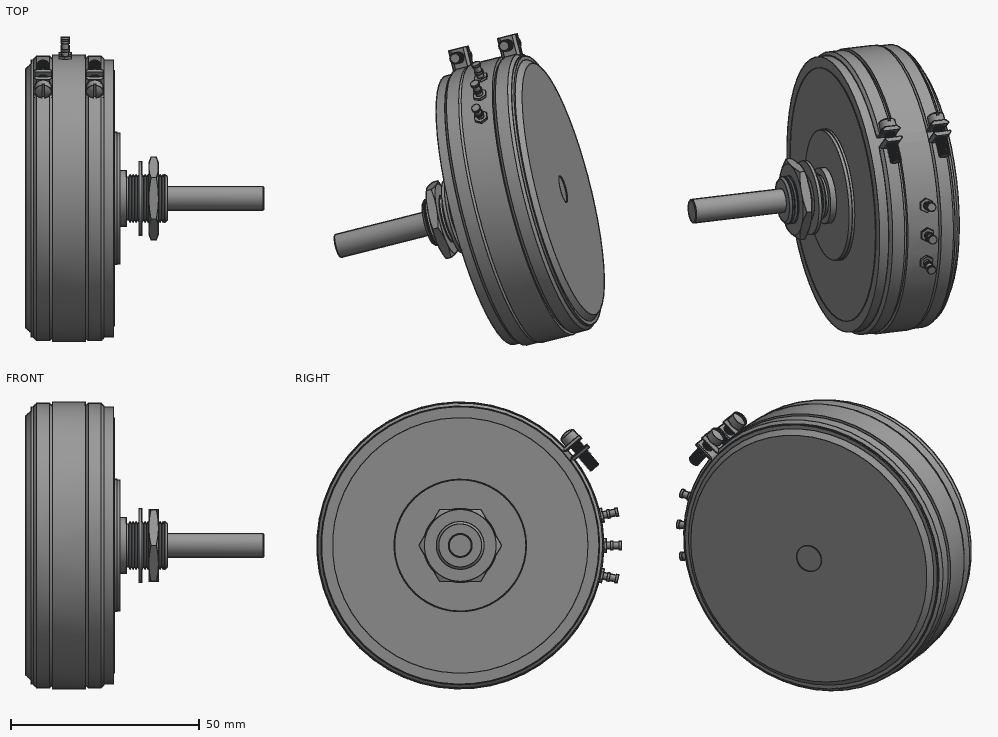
import cadquery as cq
import math


rear_face_radius = 34.4
rear_bevel_end = 1.46
rear_bevel_radius = 35.75
case_radius = 36.8
front_edge = 23.3
front_plate_radius = 33.9
front_plate_end = 23.5
rear_recess_radius = 3.6
rear_recess_depth = 0.3

ring_start = 7.1
ring_end = 15.8
ring_radius = 76.19 / 2

band_width = 5.0
band_centers = (ring_start - band_width / 2, ring_end + band_width / 2)
band_radius = 37.8
band_bevel = 0.8
clamp_angle = 40

ear_tip_radius = 43.0
ear_inner_face = 1.0
ear_thickness = 1.15
ear_inner_bevel = 0.3
ear_bend_radius = 1.2
screw_axis_radius = 40.6
screw_end = -7.15
screw_radius = 1.5
screw_root_radius = 1.25
screw_pitch = 0.4
head_radius = 2.2
head_height = 2.15
dome_height = 0.75
slot_width = 0.7
slot_depth = 1.3

terminal_x = 10.45
terminal_angles = (-12, 0, 12)
terminal_tip_radius = 80.9 - ring_radius
terminal_foot_radius = ring_radius - 0.6
terminal_hex_flats = 3.3
terminal_hex_top = 38.75
post_radius = 0.93
collar_radius = 1.15
collar_length = 0.67
lower_collar_start = 39.87

flange_step = 24.17
flange_end = 25.05
flange_root_radius = 17.6
flange_radius = 17.4
pilot_end = 26.7
pilot_radius = 7.45
neck_radius = 5.7
thread_start = 27.3
thread_pitch = 0.794
thread_count = 12
thread_radius = 6.35
thread_end = thread_start + thread_pitch * thread_count
bushing_end = 37.65
bushing_chamfer = 0.65
shaft_end = 63.17
shaft_radius = 3.175
shaft_chamfer = 0.25

washer_start = 30.0
washer_thickness = 0.85
washer_radius = 9.85
nut_start = 32.7
nut_thickness = 2.5
nut_flats = 19.05
nut_bevel = 0.55


def hex_corner_diameter(across_flats):
    return across_flats / math.cos(math.pi / 6)


def thread_points(start, pitch, count, crest_radius, root_radius):
    """Zigzag profile of ring-shaped threads as (axial, radius) points, ending on a root."""
    points = []
    for i in range(count):
        points.append((start + pitch * i, root_radius))
        points.append((start + pitch * (i + 0.5), crest_radius))
    points.append((start + pitch * count, root_radius))
    return points


def revolve_about_x(points):
    return cq.Workplane("XY").polyline(points).close().revolve(360, (0, 0, 0), (1, 0, 0))


def make_case():
    profile = [
        (0, 0),
        (0, rear_face_radius),
        (rear_bevel_end, rear_bevel_radius),
        (rear_bevel_end, case_radius),
        (ring_start, case_radius),
        (ring_start, ring_radius),
        (ring_end, ring_radius),
        (ring_end, case_radius),
        (front_edge, case_radius),
        (front_edge, front_plate_radius),
        (front_plate_end, front_plate_radius),
        (front_plate_end, 0),
    ]
    recess = cq.Workplane("YZ").circle(rear_recess_radius).extrude(rear_recess_depth)
    return revolve_about_x(profile).cut(recess)


def make_bushing_and_shaft():
    profile = [
        (front_plate_end, 0),
        (front_plate_end, flange_root_radius),
        (flange_step, flange_root_radius),
        (flange_step, flange_radius),
        (flange_end, flange_radius),
        (flange_end, pilot_radius),
        (pilot_end, pilot_radius),
        (pilot_end, neck_radius),
        *thread_points(thread_start, thread_pitch, thread_count, thread_radius, neck_radius),
        (thread_end, thread_radius),
        (bushing_end - bushing_chamfer, thread_radius),
        (bushing_end, thread_radius - bushing_chamfer),
        (bushing_end, shaft_radius),
        (shaft_end - shaft_chamfer, shaft_radius),
        (shaft_end, shaft_radius - shaft_chamfer),
        (shaft_end, 0),
    ]
    return revolve_about_x(profile)


def make_ear():
    """Clamp ear on the +Z side of the gap; the outer face carries the bevels of the band."""
    half_width = band_width / 2
    outer_face = ear_inner_face + ear_thickness
    half_section = [
        (half_width - ear_inner_bevel, ear_inner_face),
        (half_width, ear_inner_face + ear_inner_bevel),
        (half_width, outer_face - band_bevel),
        (half_width - band_bevel, outer_face),
    ]
    mirrored = [(-x, z) for x, z in reversed(half_section)]
    plane = cq.Plane(origin=(0, case_radius - ear_thickness, 0), xDir=(1, 0, 0), normal=(0, 1, 0))
    section = [(x, -z) for x, z in half_section + mirrored]
    height = ear_tip_radius - case_radius + ear_thickness
    return cq.Workplane(plane).polyline(section).close().extrude(height)


def make_gap():
    """Clamp gap along +Y, flared at the case where the ears bend out of the band."""
    bend_top = case_radius + ear_bend_radius
    foot_half_gap = ear_inner_face + ear_bend_radius
    bend_middle = (
        bend_top - ear_bend_radius * math.sin(math.pi / 4),
        foot_half_gap - ear_bend_radius * math.cos(math.pi / 4),
    )
    return (
        cq.Workplane("YZ", origin=(-band_width, 0, 0))
        .moveTo(ear_tip_radius, ear_inner_face)
        .lineTo(bend_top, ear_inner_face)
        .threePointArc(bend_middle, (case_radius, foot_half_gap))
        .lineTo(case_radius - ear_thickness, foot_half_gap)
        .lineTo(case_radius - ear_thickness, -foot_half_gap)
        .lineTo(case_radius, -foot_half_gap)
        .threePointArc((bend_middle[0], -bend_middle[1]), (bend_top, -ear_inner_face))
        .lineTo(ear_tip_radius, -ear_inner_face)
        .close()
        .extrude(2 * band_width)
    )


def make_screw():
    """Slotted round-head screw along +Z, its head resting on the upper ear."""
    head_base = ear_inner_face + ear_thickness
    head_edge = head_base + head_height
    head_top = head_edge + dome_height
    pitch_count = round((head_base - screw_end) / screw_pitch)
    pitch = (head_base - screw_end) / pitch_count
    dome_radius = (head_radius**2 + dome_height**2) / (2 * dome_height)
    dome_center = head_top - dome_radius
    half_angle = math.asin(head_radius / dome_radius) / 2
    dome_middle = (dome_radius * math.sin(half_angle), dome_center + dome_radius * math.cos(half_angle))

    shank = [(r, z) for z, r in thread_points(screw_end, pitch, pitch_count, screw_radius, screw_root_radius)]
    screw = (
        cq.Workplane("XZ")
        .moveTo(0, screw_end)
        .polyline(shank, includeCurrent=True)
        .lineTo(head_radius, head_base)
        .lineTo(head_radius, head_edge)
        .threePointArc(dome_middle, (0, head_top))
        .close()
        .revolve(360, (0, 0, 0), (0, 1, 0))
    )
    slot = cq.Workplane("XY").box(slot_width, 3 * head_radius, 2 * slot_depth)
    screw = screw.cut(slot.translate((0, 0, head_top)))
    return screw.translate((0, screw_axis_radius, 0))


def make_clamp(center_x):
    """Open band with two ears and a screw, the gap turned to the clamp angle."""
    half_width = band_width / 2
    shoulder = band_radius - band_bevel
    inner_radius = case_radius - ear_thickness
    band = revolve_about_x([
        (-half_width, inner_radius),
        (-half_width, shoulder),
        (band_bevel - half_width, band_radius),
        (half_width - band_bevel, band_radius),
        (half_width, shoulder),
        (half_width, inner_radius),
    ])
    ear = make_ear()
    clamp = band.union(ear).union(ear.mirror("XY")).cut(make_gap())
    clamp = clamp.union(make_screw())
    return clamp.rotate((0, 0, 0), (1, 0, 0), clamp_angle).translate((center_x, 0, 0))


def make_terminal(angle):
    """Turret terminal: hexagonal foot and a post with two collars, standing radially."""
    base = cq.Workplane(cq.Plane(origin=(0, 0, 0), xDir=(0, 0, 1), normal=(0, 1, 0)))

    def barrel(start, end, radius):
        return base.workplane(offset=start).circle(radius).extrude(end - start)

    foot_height = terminal_hex_top - terminal_foot_radius
    foot = base.workplane(offset=terminal_foot_radius)
    foot = foot.polygon(6, hex_corner_diameter(terminal_hex_flats)).extrude(foot_height)
    terminal = foot.union(barrel(terminal_foot_radius, terminal_tip_radius, post_radius))
    for start in (lower_collar_start, terminal_tip_radius - collar_length):
        terminal = terminal.union(barrel(start, start + collar_length, collar_radius))
    return terminal.rotate((0, 0, 0), (1, 0, 0), angle).translate((terminal_x, 0, 0))


def make_potentiometer():
    body = make_case().union(make_bushing_and_shaft())
    for center_x in band_centers:
        body = body.union(make_clamp(center_x))
    for angle in terminal_angles:
        body = body.union(make_terminal(angle))
    return body


def make_washer():
    plane = cq.Workplane("YZ", origin=(washer_start, 0, 0))
    return plane.circle(washer_radius).circle(thread_radius).extrude(washer_thickness)


def make_nut():
    """Hexagonal nut with corners on the Y axis, bevelled on both faces."""
    corner_diameter = hex_corner_diameter(nut_flats)
    corner_radius = corner_diameter / 2
    nut_end = nut_start + nut_thickness
    face_radius = nut_flats / 2
    blank = cq.Workplane("YZ", origin=(nut_start, 0, 0)).polygon(6, corner_diameter)
    blank = blank.extrude(nut_thickness)
    envelope = revolve_about_x([
        (nut_start, 0),
        (nut_start, face_radius),
        (nut_start + nut_bevel, corner_radius),
        (nut_end - nut_bevel, corner_radius),
        (nut_end, face_radius),
        (nut_end, 0),
    ])
    bore = cq.Workplane("YZ", origin=(nut_start, 0, 0)).circle(thread_radius).extrude(nut_thickness)
    return blank.intersect(envelope).cut(bore)


potentiometer = make_potentiometer()
washer = make_washer()
nut = make_nut()

result = cq.Compound.makeCompound([potentiometer.val(), washer.val(), nut.val()])